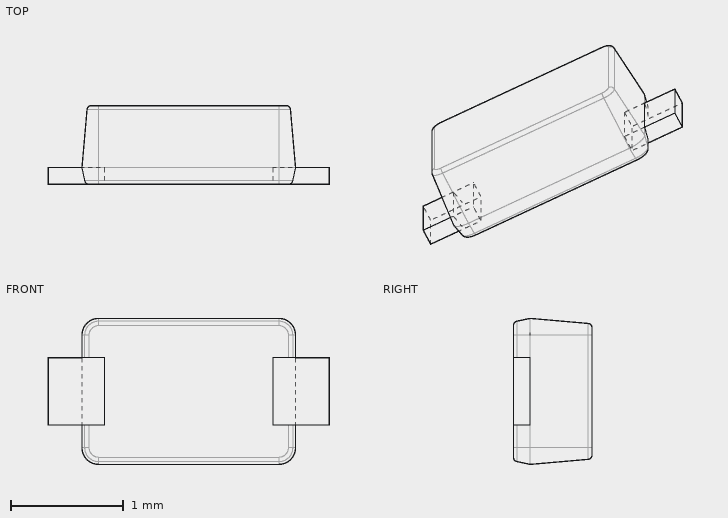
import cadquery as cq

overall_length = 2.5
package_depth = 0.7

housing_length = 1.9
housing_height = 1.3
corner_radius = 0.15
rear_draft = 5.0
front_draft = 12.0
edge_radius = 0.04

lead_length = 0.5
lead_width = 0.6
lead_thickness = 0.15

parting_y = lead_thickness


def drafted_half(depth, draft):
    """Half of the housing, narrowing away from the parting plane.

    A positive depth runs toward -Y and a negative depth toward +Y.
    """
    outline = cq.Sketch().rect(housing_length, housing_height).vertices().fillet(corner_radius)
    return (
        cq.Workplane("XZ", origin=(0, parting_y, 0))
        .placeSketch(outline)
        .extrude(depth, taper=draft)
    )


def make_lead(side):
    """Flat lead at one end: side is -1 for the -X end and +1 for the +X end."""
    center_x = side * (overall_length - lead_length) / 2
    return (
        cq.Workplane("XY")
        .box(lead_length, lead_thickness, lead_width)
        .translate((center_x, lead_thickness / 2, 0))
    )


def make_housing(leads):
    """Moulded block with rounded end faces and a fitted recess for each lead."""
    front_half = drafted_half(parting_y, front_draft)
    rear_half = drafted_half(parting_y - package_depth, rear_draft)
    block = front_half.union(rear_half)
    block = block.faces("<Y or >Y").edges().fillet(edge_radius)
    for lead in leads:
        block = block.cut(lead)
    return block


leads = [make_lead(side) for side in (-1, 1)]
housing = make_housing(leads)

result = cq.Compound.makeCompound([housing.val(), *[lead.val() for lead in leads]])